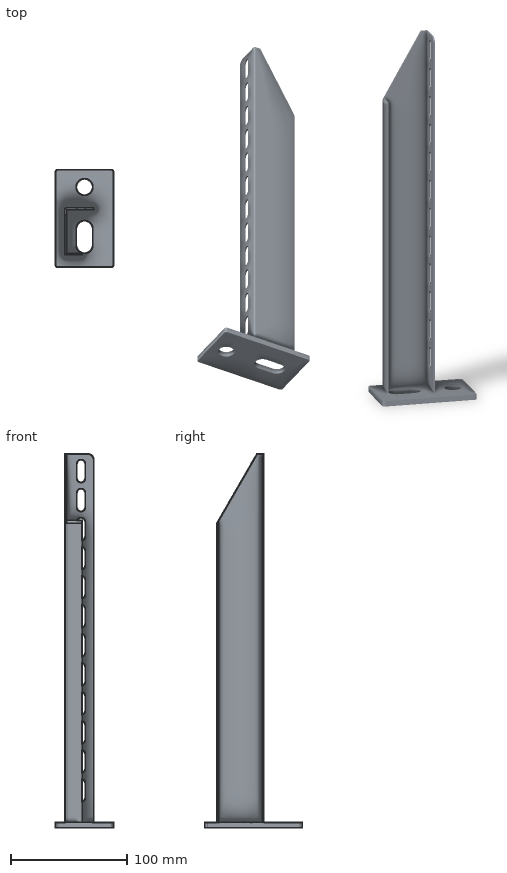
import cadquery as cq
import math

PLATE_X = 50.0
PLATE_Y = 84.0
PLATE_THICKNESS = 4.8
PLATE_CORNER_RADIUS = 2.0

ANCHOR_WIDTH = 14.0
ANCHOR_SLOT_LENGTH = 28.0
ANCHOR_HOLE_Y = 27.0
ANCHOR_SLOT_Y = -16.0

TOTAL_HEIGHT = 322.0
SHEET = 1.5
BEND_RADIUS = SHEET
WEB_DEPTH = 40.5
BACK_FLANGE_WIDTH = 25.0
FRONT_FLANGE_WIDTH = 15.0
WEB_LEFT = -17.0
BACK_FACE_Y = 9.0
BACK_FLANGE_CORNER_RADIUS = 5.0

TOP_FLAT_DEPTH = 6.0
SLOPE_ANGLE = 60.0

SLOT_COUNT = 12
SLOT_PITCH = 25.0
SLOT_LENGTH = 19.5
SLOT_WIDTH = 7.0
SLOT_TOP_MARGIN = 5.0
SLOT_OFFSET = 14.0

upright_height = TOTAL_HEIGHT - PLATE_THICKNESS
front_face_y = BACK_FACE_Y - WEB_DEPTH
back_flange_end = WEB_LEFT + BACK_FLANGE_WIDTH
front_flange_end = WEB_LEFT + FRONT_FLANGE_WIDTH


def base_plate():
    plate = (
        cq.Workplane("XY")
        .rect(PLATE_X, PLATE_Y)
        .extrude(PLATE_THICKNESS)
        .edges("|Z")
        .fillet(PLATE_CORNER_RADIUS)
    )
    round_hole = (
        cq.Workplane("XY")
        .center(0, ANCHOR_HOLE_Y)
        .circle(ANCHOR_WIDTH / 2)
        .extrude(PLATE_THICKNESS)
    )
    long_hole = (
        cq.Workplane("XY")
        .center(0, ANCHOR_SLOT_Y)
        .slot2D(ANCHOR_SLOT_LENGTH, ANCHOR_WIDTH, 90)
        .extrude(PLATE_THICKNESS)
    )
    return plate.cut(round_hole).cut(long_hole)


def channel():
    """Full-height channel: web on -X, long flange at the back, short flange at the front."""
    section = [
        (back_flange_end, BACK_FACE_Y),
        (WEB_LEFT, BACK_FACE_Y),
        (WEB_LEFT, front_face_y),
        (front_flange_end, front_face_y),
        (front_flange_end, front_face_y + SHEET),
        (WEB_LEFT + SHEET, front_face_y + SHEET),
        (WEB_LEFT + SHEET, BACK_FACE_Y - SHEET),
        (back_flange_end, BACK_FACE_Y - SHEET),
    ]
    return (
        cq.Workplane("XY")
        .workplane(offset=PLATE_THICKNESS)
        .polyline(section)
        .close()
        .extrude(upright_height)
        .edges("|Z and <X")
        .fillet(BEND_RADIUS)
        .edges("|Y and >X and >Z")
        .fillet(BACK_FLANGE_CORNER_RADIUS)
    )


def slope_cutter():
    """Wedge above the slope that falls from the top of the web to the front flange."""
    slope_start_y = BACK_FACE_Y - TOP_FLAT_DEPTH
    drop = (slope_start_y - front_face_y) * math.tan(math.radians(SLOPE_ANGLE))
    wedge = [
        (slope_start_y, TOTAL_HEIGHT),
        (front_face_y, TOTAL_HEIGHT - drop),
        (front_face_y, TOTAL_HEIGHT),
    ]
    return (
        cq.Workplane("YZ")
        .workplane(offset=WEB_LEFT)
        .polyline(wedge)
        .close()
        .extrude(BACK_FLANGE_WIDTH)
    )


def flange_slots():
    top_slot_z = TOTAL_HEIGHT - SLOT_TOP_MARGIN - SLOT_LENGTH / 2
    slot_centres = [
        (WEB_LEFT + SLOT_OFFSET, top_slot_z - row * SLOT_PITCH)
        for row in range(SLOT_COUNT)
    ]
    return (
        cq.Workplane("XZ", origin=(0, BACK_FACE_Y, 0))
        .pushPoints(slot_centres)
        .slot2D(SLOT_LENGTH, SLOT_WIDTH, 90)
        .extrude(SHEET)
    )


upright = channel().cut(slope_cutter()).cut(flange_slots())
result = base_plate().union(upright)